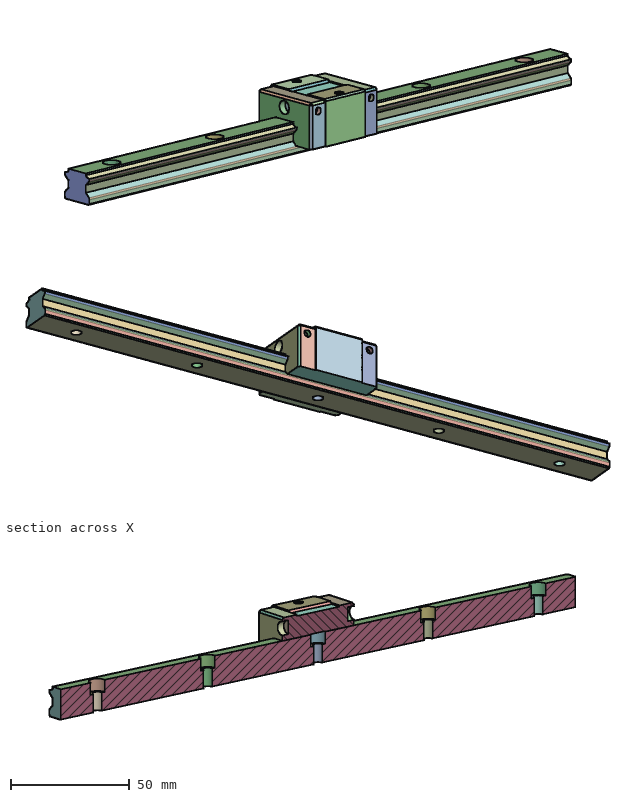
import cadquery as cq
import math

RAIL_LENGTH = 280.0
TOTAL_HEIGHT = 24.0

RAIL_WIDTH = 15.0
RAIL_HEIGHT = 13.5
RAIL_TOP_WIDTH = 10.5
RAIL_NECK_WIDTH = 11.0
NECK_BOTTOM = 5.0
NECK_TOP = 8.5
GROOVE_BOTTOM = 11.5
GROOVE_TOP = 12.5
GROOVE_SAG = 0.3
RAIL_BASE_CHAMFER = 0.5
RAIL_LIP_RADIUS = 1.0

RAIL_HOLE_COUNT = 5
RAIL_HOLE_PITCH = 60.0
RAIL_HOLE_DIAMETER = 4.5
RAIL_COUNTERBORE_DIAMETER = 7.5
RAIL_COUNTERBORE_DEPTH = 5.3

BLOCK_WIDTH = 34.0
BLOCK_LENGTH = 23.0
CARRIAGE_BOTTOM = 3.5
BLOCK_CHAMFER = 0.8
TOP_CHANNEL_WIDTH = 9.8
TOP_CHANNEL_SLOPE = 0.8
TOP_CHANNEL_DEPTH = 1.0

CARRIAGE_LENGTH = 39.2
CAP_WIDTH = 32.8
CAP_TOP_DROP = 0.5
CAP_CHAMFER = 0.98

MOUNT_HOLE_DIAMETER = 3.5
MOUNT_HOLE_SPACING = 26.0
MOUNT_HOLE_DEPTH = 4.5
MOUNT_HOLE_CHAMFER = 0.3
END_PORT_DIAMETER = 6.0
END_PORT_HEIGHT = 18.8
END_PORT_DEPTH = 3.5
SIDE_PORT_DIAMETER = 3.0
SIDE_PORT_HEIGHT = 19.5
SIDE_PORT_SPACING = 30.8
SIDE_PORT_DEPTH = 2.2

CAP_TOP = TOTAL_HEIGHT - CAP_TOP_DROP
CAP_LENGTH = (CARRIAGE_LENGTH - BLOCK_LENGTH) / 2


def half_rail():
    """Section of the +X half of the rail, extruded along the full length."""
    side_x = RAIL_WIDTH / 2
    neck_x = RAIL_NECK_WIDTH / 2
    top_x = RAIL_TOP_WIDTH / 2

    foot_lip_z = NECK_BOTTOM - (side_x - neck_x)
    head_lip_z = NECK_TOP + (side_x - neck_x)

    run = side_x - top_x
    drop = GROOVE_TOP - GROOVE_BOTTOM
    chord = math.hypot(run, drop)
    groove_x = (side_x + top_x) / 2 - GROOVE_SAG * drop / chord
    groove_z = (GROOVE_TOP + GROOVE_BOTTOM) / 2 - GROOVE_SAG * run / chord

    bar = (
        cq.Workplane("XZ", origin=(0, RAIL_LENGTH / 2, 0))
        .lineTo(side_x - RAIL_BASE_CHAMFER, 0)
        .lineTo(side_x, RAIL_BASE_CHAMFER)
        .lineTo(side_x, foot_lip_z)
        .lineTo(neck_x, NECK_BOTTOM)
        .lineTo(neck_x, NECK_TOP)
        .lineTo(side_x, head_lip_z)
        .lineTo(side_x, GROOVE_BOTTOM)
        .threePointArc((groove_x, groove_z), (top_x, GROOVE_TOP))
        .lineTo(top_x, RAIL_HEIGHT)
        .lineTo(0, RAIL_HEIGHT)
        .close()
        .extrude(RAIL_LENGTH)
    )
    for lip_z in (foot_lip_z, head_lip_z):
        lip_edge = cq.selectors.NearestToPointSelector((side_x, 0, lip_z))
        bar = bar.edges("|Y").edges(lip_edge).fillet(RAIL_LIP_RADIUS)
    return bar


def rail_bar():
    """Full rail section, symmetric about the YZ plane, without its mounting holes."""
    half = half_rail()
    return half.union(half.mirror("YZ")).clean()


def make_rail():
    """Rail with an evenly spaced row of counterbored mounting holes."""
    return (
        rail_bar()
        .faces(">Z")
        .workplane(origin=(0, 0, RAIL_HEIGHT))
        .rarray(2.8, RAIL_HOLE_PITCH, 1, RAIL_HOLE_COUNT)
        .cboreHole(RAIL_HOLE_DIAMETER, RAIL_COUNTERBORE_DIAMETER, RAIL_COUNTERBORE_DEPTH)
    )


def carriage_block():
    """Central block, bevelled along its upper edges, with a shallow channel in its top."""
    block = (
        cq.Workplane("XY", origin=(0, 0, CARRIAGE_BOTTOM))
        .box(BLOCK_WIDTH, BLOCK_LENGTH, TOTAL_HEIGHT - CARRIAGE_BOTTOM, centered=(True, True, False))
        .edges("|Y and >Z")
        .chamfer(BLOCK_CHAMFER)
    )
    rim_x = TOP_CHANNEL_WIDTH / 2 + TOP_CHANNEL_SLOPE
    floor_x = TOP_CHANNEL_WIDTH / 2
    floor_z = TOTAL_HEIGHT - TOP_CHANNEL_DEPTH
    channel = (
        cq.Workplane("XZ", origin=(0, BLOCK_LENGTH / 2, 0))
        .polyline([
            (-rim_x, TOTAL_HEIGHT),
            (-floor_x, floor_z),
            (floor_x, floor_z),
            (rim_x, TOTAL_HEIGHT),
        ])
        .close()
        .extrude(BLOCK_LENGTH)
    )
    return block.cut(channel)


def end_cap(side):
    """End cap on the +Y (side = 1) or -Y (side = -1) end, bevelled around its outer face."""
    outer_face = ">Y" if side > 0 else "<Y"
    cap_y = side * (BLOCK_LENGTH + CAP_LENGTH) / 2
    return (
        cq.Workplane("XY", origin=(0, cap_y, CARRIAGE_BOTTOM))
        .box(CAP_WIDTH, CAP_LENGTH, CAP_TOP - CARRIAGE_BOTTOM, centered=(True, True, False))
        .edges(f"(|Y and >Z) or ({outer_face} and |Z) or ({outer_face} and >Z)")
        .chamfer(CAP_CHAMFER)
    )


def mount_holes():
    """Blind holes down from the block top, flared at the rim, one on each side of the channel."""
    rim_radius = MOUNT_HOLE_DIAMETER / 2 + MOUNT_HOLE_CHAMFER
    hole = (
        cq.Workplane("XZ")
        .polyline([
            (0, 0),
            (rim_radius, 0),
            (MOUNT_HOLE_DIAMETER / 2, -MOUNT_HOLE_CHAMFER),
            (MOUNT_HOLE_DIAMETER / 2, -MOUNT_HOLE_DEPTH),
            (0, -MOUNT_HOLE_DEPTH),
        ])
        .close()
        .revolve(360, (0, 0), (0, 1))
    )
    left = hole.translate((-MOUNT_HOLE_SPACING / 2, 0, TOTAL_HEIGHT))
    right = hole.translate((MOUNT_HOLE_SPACING / 2, 0, TOTAL_HEIGHT))
    return left.add(right).combine()


def end_port(side):
    """Blind hole above the rail in the outer face of one end cap."""
    face_y = side * CARRIAGE_LENGTH / 2
    return (
        cq.Workplane("XZ", origin=(0, face_y, END_PORT_HEIGHT))
        .circle(END_PORT_DIAMETER / 2)
        .extrude(side * END_PORT_DEPTH)
    )


def side_ports(side):
    """Blind holes in one flank of both end caps."""
    face_x = side * CAP_WIDTH / 2
    return (
        cq.Workplane("YZ", origin=(face_x, 0, SIDE_PORT_HEIGHT))
        .rarray(SIDE_PORT_SPACING, 2.8, 2, 1)
        .circle(SIDE_PORT_DIAMETER / 2)
        .extrude(-side * SIDE_PORT_DEPTH)
    )


def make_carriage():
    """Block and end caps in one piece, fitted around the rail."""
    carriage = carriage_block().union(end_cap(-1)).union(end_cap(1)).cut(mount_holes())
    for side in (-1, 1):
        carriage = carriage.cut(end_port(side)).cut(side_ports(side))
    return carriage.cut(rail_bar())


rail = make_rail()
carriage = make_carriage()

result = cq.Compound.makeCompound([rail.val(), *carriage.vals()])